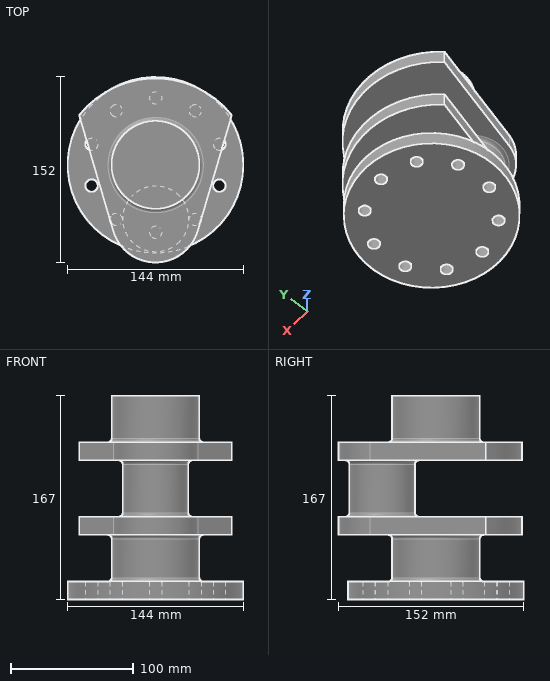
import cadquery as cq
import math

flange_diameter = 144.0
flange_thickness = 15.0
bolt_hole_count = 10
bolt_hole_diameter = 10.0
bolt_circle_radius = 55.0
bolt_hole_pitch = 360.0 / bolt_hole_count

main_journal_diameter = 72.0
main_journal_length = 38.0
crankpin_diameter = 54.0
crankpin_length = 46.0
crank_throw = 44.0
fillet_radius = 3.0

web_thickness = 15.0
web_end_radius = 36.0
web_corner_x = 62.5
web_corner_y = 40.7
web_arc_radius = 80.0
web_arc_center_y = web_corner_y - math.sqrt(web_arc_radius**2 - web_corner_x**2)
web_top_y = web_arc_center_y + web_arc_radius

lower_journal_z = flange_thickness
lower_web_z = lower_journal_z + main_journal_length
crankpin_z = lower_web_z + web_thickness
upper_web_z = crankpin_z + crankpin_length
upper_journal_z = upper_web_z + web_thickness


def make_flange():
    """Round flange with a ring of through holes, each half a pitch off the X axis."""
    disc = cq.Workplane("XY").circle(flange_diameter / 2).extrude(flange_thickness)
    holes = (
        cq.Workplane("XY")
        .polarArray(bolt_circle_radius, bolt_hole_pitch / 2, 360, bolt_hole_count)
        .circle(bolt_hole_diameter / 2)
        .extrude(flange_thickness)
    )
    return disc.cut(holes)


def web_tangent_point():
    """Point on the +X side where the straight flank meets the rounded end tangentially."""
    rise = web_corner_y + crank_throw
    corner_distance = math.hypot(web_corner_x, rise)
    corner_angle = math.atan2(rise, web_corner_x)
    tangent_angle = corner_angle - math.acos(web_end_radius / corner_distance)
    x = web_end_radius * math.cos(tangent_angle)
    y = web_end_radius * math.sin(tangent_angle) - crank_throw
    return x, y


def make_web(base_z):
    """Crank web standing on the height base_z."""
    tangent_x, tangent_y = web_tangent_point()
    return (
        cq.Workplane("XY", origin=(0, 0, base_z))
        .moveTo(tangent_x, tangent_y)
        .lineTo(web_corner_x, web_corner_y)
        .threePointArc((0, web_top_y), (-web_corner_x, web_corner_y))
        .lineTo(-tangent_x, tangent_y)
        .threePointArc((0, -crank_throw - web_end_radius), (tangent_x, tangent_y))
        .close()
        .extrude(web_thickness)
    )


def make_journal(diameter, length, base_z, center_y=0.0, flare_top=True):
    """Cylinder flaring out by the fillet radius at its foot and, if asked, at its top."""
    radius = diameter / 2
    flare = radius + fillet_radius
    inset = fillet_radius * (1 - math.sqrt(0.5))
    profile = (
        cq.Workplane("XZ", origin=(0, center_y, base_z))
        .lineTo(flare, 0)
        .threePointArc((radius + inset, inset), (radius, fillet_radius))
    )
    if flare_top:
        profile = profile.lineTo(radius, length - fillet_radius).threePointArc(
            (radius + inset, length - inset), (flare, length)
        )
    else:
        profile = profile.lineTo(radius, length)
    return profile.lineTo(0, length).close().revolve(360, (0, 0, 0), (0, 1, 0))


result = (
    make_flange()
    .union(make_journal(main_journal_diameter, main_journal_length, lower_journal_z))
    .union(make_web(lower_web_z))
    .union(make_journal(crankpin_diameter, crankpin_length, crankpin_z, center_y=-crank_throw))
    .union(make_web(upper_web_z))
    .union(make_journal(main_journal_diameter, main_journal_length, upper_journal_z, flare_top=False))
)